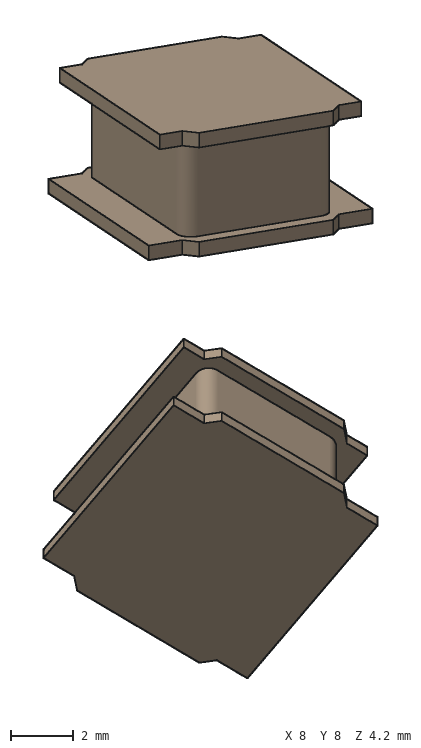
import cadquery as cq

overall_side = 8.0
overall_height = 4.2

core_length = 7.0
core_width = 5.4
core_height = 3.2
flange_thickness = (overall_height - core_height) / 2
core_corner_radius = flange_thickness

ear_depth = 0.4
body_length = overall_side - 2 * ear_depth
ear_tip_width = 4.8
ear_root_width = ear_tip_width + 2 * ear_depth
top_flange_width = 7.2


def make_flange(width, base_z):
    """Flange of the given Y width, with a bevelled ear on each X side."""
    body = cq.Workplane("XY").workplane(offset=base_z).rect(body_length, width).extrude(flange_thickness)
    ears = (
        cq.Workplane("XY")
        .workplane(offset=base_z)
        .rect(overall_side, ear_root_width)
        .extrude(flange_thickness)
        .edges("|Z")
        .chamfer(ear_depth)
    )
    return body.union(ears)


def make_core():
    """Rectangular core with rounded vertical corners."""
    return (
        cq.Workplane("XY")
        .workplane(offset=flange_thickness)
        .rect(core_length, core_width)
        .extrude(core_height)
        .edges("|Z")
        .fillet(core_corner_radius)
    )


bottom_flange = make_flange(overall_side, 0)
top_flange = make_flange(top_flange_width, flange_thickness + core_height)
result = bottom_flange.union(make_core()).union(top_flange)